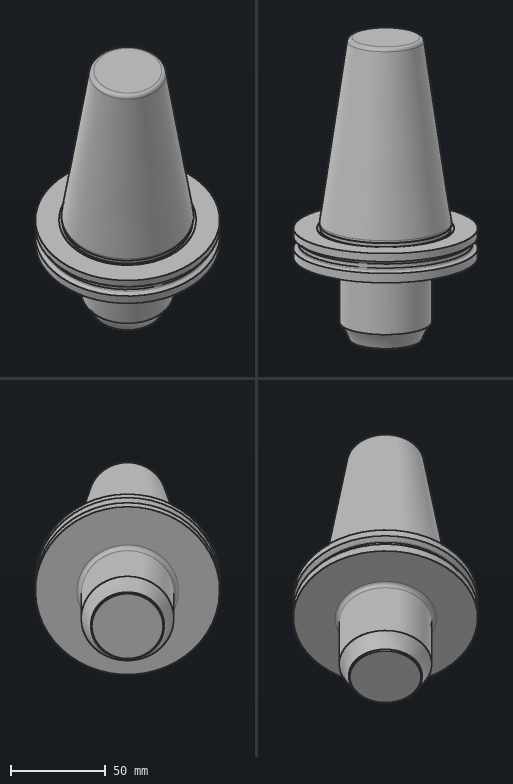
import cadquery as cq
import math

total_height = 166.2
flange_radius = 48.7
flange_bottom = 45.2
flange_top = 61.3

taper_ratio = 7 / 24
gauge_radius = 34.9
gauge_height = 64.5
taper_end_fillet = 2.5
taper_end_radius = gauge_radius - (total_height - gauge_height) * taper_ratio / 2

neck_radius = 34.5
neck_top = 62.8
land_bottom = 63.2
relief_outer_radius = 36.2
relief_depth = 0.5

groove_top = 56.9
groove_bottom = 50.4
groove_floor_radius = 45.9
groove_fillet = 0.8
flank_angle = 30
flank_rise = (flange_radius - groove_floor_radius) * math.tan(math.radians(flank_angle))

body_radius = 24.5
body_fillet = 2.3
nose_height = 9.8
nose_radius = 19.5
nose_mid_radius = 21.3
nose_mid_height = 5.2
tip_chamfer = 0.7


def make_shank():
    """Body, flange, neck and taper, revolved about Z."""
    profile = (
        cq.Workplane("XZ")
        .lineTo(nose_radius - tip_chamfer, 0)
        .lineTo(nose_radius, tip_chamfer)
        .threePointArc((nose_mid_radius, nose_mid_height), (body_radius, nose_height))
        .lineTo(body_radius, flange_bottom - body_fillet)
        .radiusArc((body_radius + body_fillet, flange_bottom), body_fillet)
        .lineTo(flange_radius, flange_bottom)
        .lineTo(flange_radius, flange_top)
        .lineTo(neck_radius, flange_top)
        .lineTo(neck_radius, neck_top)
        .lineTo(gauge_radius, land_bottom)
        .lineTo(gauge_radius, gauge_height)
        .lineTo(taper_end_radius, total_height)
        .lineTo(0, total_height)
        .close()
    )
    return profile.revolve(360, (0, 0, 0), (0, 1, 0)).faces(">Z").edges().fillet(taper_end_fillet)


def make_groove_cutter():
    """Ring that cuts the V groove into the flange rim."""
    profile = (
        cq.Workplane("XZ")
        .moveTo(flange_radius, groove_bottom)
        .lineTo(groove_floor_radius, groove_bottom + flank_rise)
        .lineTo(groove_floor_radius, groove_top - flank_rise)
        .lineTo(flange_radius, groove_top)
        .close()
    )
    ring = profile.revolve(360, (0, 0, 0), (0, 1, 0))
    floor_corners = ring.edges(cq.selectors.RadiusNthSelector(0))
    return floor_corners.fillet(groove_fillet)


def make_relief_cutter():
    """Shallow ring around the neck, rounded where it rises to the flange face."""
    floor = flange_top - relief_depth
    profile = (
        cq.Workplane("XZ")
        .moveTo(neck_radius, flange_top)
        .lineTo(neck_radius, floor)
        .lineTo(relief_outer_radius - relief_depth, floor)
        .radiusArc((relief_outer_radius, flange_top), -relief_depth)
        .close()
    )
    return profile.revolve(360, (0, 0, 0), (0, 1, 0))


result = make_shank().cut(make_groove_cutter()).cut(make_relief_cutter())